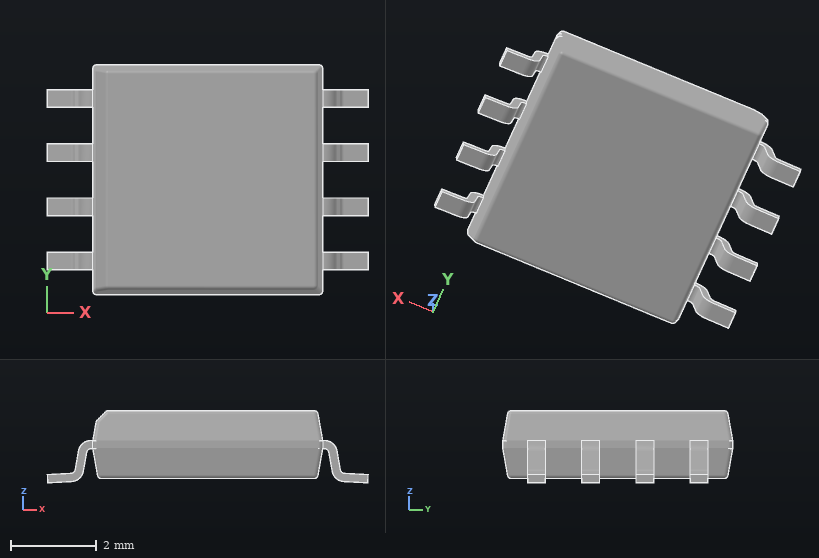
import cadquery as cq
import math

body_width = 5.4
body_height = 1.6
standoff = 0.1
band_height = 0.18
draft_angle = 10.0
edge_radius = 0.1
bevel_width = 0.205

half_height = (body_height - band_height) / 2
band_bottom = standoff + half_height
band_top = band_bottom + band_height
body_top = standoff + body_height
draft_inset = half_height * math.tan(math.radians(draft_angle))

lead_span = 7.53
lead_width = 0.42
lead_thickness = 0.2
lead_pitch = 1.27
leads_per_side = 4
inner_bend_radius = 0.1
lead_top = (band_bottom + band_top + lead_thickness) / 2
outer_bend_radius = inner_bend_radius + lead_thickness
leg_angle = 10.0
foot_angle = 3.0
foot_length = 0.56


def make_body():
    """Band with two tapered halves, a bevel along the top -X edge and rounded edges."""
    band = cq.Workplane("XY").workplane(offset=band_bottom).rect(body_width, body_width).extrude(band_height)
    upper = (
        cq.Workplane("XY")
        .workplane(offset=band_top)
        .rect(body_width, body_width)
        .extrude(half_height, taper=draft_angle)
    )
    lower = upper.mirror("XY", (0, 0, (band_bottom + band_top) / 2))
    blank = band.union(upper).union(lower)

    bevel_start = -body_width / 2 + draft_inset + bevel_width
    cutter_size = bevel_width + draft_inset
    bevel = (
        cq.Workplane("XZ")
        .moveTo(bevel_start, body_top)
        .lineTo(bevel_start - cutter_size, body_top)
        .lineTo(bevel_start - cutter_size, body_top - cutter_size)
        .close()
        .extrude(body_width / 2, both=True)
    )
    beveled = blank.cut(bevel)

    band_levels = cq.selectors.BoxSelector(
        (-body_width, -body_width, band_bottom - edge_radius / 2),
        (body_width, body_width, band_top + edge_radius / 2),
    )
    upright_band_edges = beveled.edges("|Z")
    rounded = beveled.edges(cq.selectors.InverseSelector(band_levels)).add(upright_band_edges)
    return rounded.fillet(edge_radius)


def polar(center, radius, angle):
    """Point at the given radius and angle (degrees) from a center."""
    turn = math.radians(angle)
    return (center[0] + radius * math.cos(turn), center[1] + radius * math.sin(turn))


def make_lead(y_center):
    """Lead on the +X side: short shoulder, leaning leg and tilted foot."""
    foot_end_angle = 270 - foot_angle
    inward_direction = 180 - foot_angle

    tip_top_x = lead_span / 2
    tip_bottom = (tip_top_x - lead_thickness * math.sin(math.radians(foot_angle)), 0)
    tip_top = polar(tip_bottom, lead_thickness, 90 - foot_angle)
    foot_top = polar(tip_top, foot_length, inward_direction)
    foot_bottom = polar(tip_bottom, foot_length, inward_direction)

    lower_center = polar(foot_top, inner_bend_radius, 90 - foot_angle)
    upper_center_z = lead_top - outer_bend_radius
    center_offset = polar((0, 0), inner_bend_radius + outer_bend_radius, leg_angle)
    leg_drop = upper_center_z + center_offset[1] - lower_center[1]
    leg_run = leg_drop * math.tan(math.radians(leg_angle))
    upper_center = (lower_center[0] - center_offset[0] - leg_run, upper_center_z)

    upper_mid_angle = (90 + leg_angle) / 2
    lower_mid_angle = (180 + leg_angle + foot_end_angle) / 2
    profile = (
        cq.Workplane("XZ")
        .moveTo(body_width / 2, lead_top)
        .lineTo(upper_center[0], lead_top)
        .threePointArc(
            polar(upper_center, outer_bend_radius, upper_mid_angle),
            polar(upper_center, outer_bend_radius, leg_angle),
        )
        .lineTo(*polar(lower_center, inner_bend_radius, 180 + leg_angle))
        .threePointArc(polar(lower_center, inner_bend_radius, lower_mid_angle), foot_top)
        .lineTo(*tip_top)
        .lineTo(*tip_bottom)
        .lineTo(*foot_bottom)
        .threePointArc(
            polar(lower_center, outer_bend_radius, lower_mid_angle),
            polar(lower_center, outer_bend_radius, 180 + leg_angle),
        )
        .lineTo(*polar(upper_center, inner_bend_radius, leg_angle))
        .threePointArc(
            polar(upper_center, inner_bend_radius, upper_mid_angle),
            polar(upper_center, inner_bend_radius, 90),
        )
        .lineTo(body_width / 2, lead_top - lead_thickness)
        .close()
    )
    return profile.extrude(lead_width / 2, both=True).translate((0, y_center, 0))


body = make_body()

leads = []
for index in range(leads_per_side):
    y_center = (index - (leads_per_side - 1) / 2) * lead_pitch
    right_lead = make_lead(y_center)
    left_lead = right_lead.mirror("YZ")
    leads.append(right_lead.val())
    leads.append(left_lead.val())

result = cq.Compound.makeCompound([body.val(), *leads])